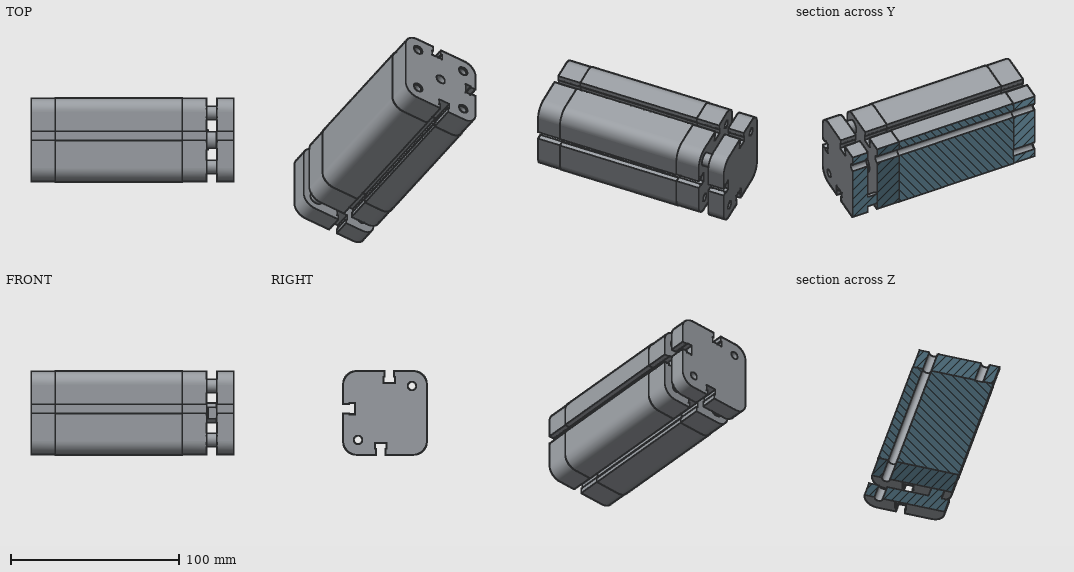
import cadquery as cq


TOTAL_LENGTH = 120.5
BARREL_START = 14.3
BARREL_END = 89.9
HOUSING_END = 104.4
YOKE_START = 110.4

BARREL_WIDTH = 50.0
CAP_INSET = 0.18
CAP_WIDTH = BARREL_WIDTH - 2 * CAP_INSET
CORNER_RADIUS = 8.1

SLOT_OFFSET = 2.5
SLOT_MOUTH = 5.4
SLOT_MOUTH_DEPTH = 3.6
CAP_SLOT_WIDTH = 7.0
CAP_SLOT_DEPTH = 7.4
SLOT_CLEARANCE = 0.4
BARREL_SLOT_WIDTH = CAP_SLOT_WIDTH - 2 * SLOT_CLEARANCE
BARREL_SLOT_DEPTH = CAP_SLOT_DEPTH - SLOT_CLEARANCE
SLOT_ANGLES = (0, 90, 180)

HOLE_PITCH = 32.0
HOLE_DIAMETER = 5.0
HOLE_CHAMFER = 0.6
CENTRE_HOLE_DIAMETER = 6.0

GUIDE_DIAMETER = 8.2
ROD_DIAMETER = 11.9
ROD_FLAT_WIDTH = 9.9
ROD_FLAT_START = 1.1
ROD_FLAT_RUNOUT = 0.4
ROD_CHAMFER = 0.4

HALF_PITCH = HOLE_PITCH / 2
BOLT_POINTS = [(HALF_PITCH, HALF_PITCH), (-HALF_PITCH, -HALF_PITCH)]
GUIDE_POINTS = [(-HALF_PITCH, HALF_PITCH), (HALF_PITCH, -HALF_PITCH)]


def section_plane(x):
    """Workplane across the cylinder at x; local coordinates are (Y, Z)."""
    return cq.Workplane("YZ", origin=(x, 0, 0))


def cut_t_slots(body, start, end, slot_width, slot_depth):
    """Cut the T-slots in the top, -Y and bottom faces, each offset from its face centre."""
    half_width = BARREL_WIDTH / 2
    length = end - start
    mouth = (
        section_plane(start)
        .center(SLOT_OFFSET, half_width - SLOT_MOUTH_DEPTH / 2)
        .rect(SLOT_MOUTH, SLOT_MOUTH_DEPTH)
        .extrude(length)
    )
    head_height = slot_depth - SLOT_MOUTH_DEPTH
    head = (
        section_plane(start)
        .center(SLOT_OFFSET, half_width - SLOT_MOUTH_DEPTH - head_height / 2)
        .rect(slot_width, head_height)
        .extrude(length)
    )
    slot = mouth.union(head)
    for angle in SLOT_ANGLES:
        body = body.cut(slot.rotate((0, 0, 0), (1, 0, 0), angle))
    return body


def make_block(start, end, width, slot_width, slot_depth):
    """Rounded square length of the cylinder with its T-slots and the two through-bolt holes."""
    block = (
        section_plane(start)
        .rect(width, width)
        .extrude(end - start)
        .edges("|X")
        .fillet(CORNER_RADIUS)
    )
    block = cut_t_slots(block, start, end, slot_width, slot_depth)
    bolt_holes = section_plane(start).pushPoints(BOLT_POINTS).circle(HOLE_DIAMETER / 2).extrude(end - start)
    return block.cut(bolt_holes)


def make_end_cap():
    """Rear cap with four chamfered corner holes and a plain centre hole."""
    cap = make_block(0, BARREL_START, CAP_WIDTH, CAP_SLOT_WIDTH, CAP_SLOT_DEPTH)
    corner_holes = section_plane(0).pushPoints(GUIDE_POINTS).circle(HOLE_DIAMETER / 2).extrude(BARREL_START)
    centre_hole = section_plane(0).circle(CENTRE_HOLE_DIAMETER / 2).extrude(BARREL_START)
    cap = cap.cut(corner_holes).cut(centre_hole)
    for y, z in BOLT_POINTS + GUIDE_POINTS:
        countersink = cq.Solid.makeCone(
            HOLE_DIAMETER / 2 + HOLE_CHAMFER,
            HOLE_DIAMETER / 2,
            HOLE_CHAMFER,
            pnt=cq.Vector(0, y, z),
            dir=cq.Vector(1, 0, 0),
        )
        cap = cap.cut(cq.Workplane(countersink))
    return cap


def make_barrel():
    return make_block(BARREL_START, BARREL_END, BARREL_WIDTH, BARREL_SLOT_WIDTH, BARREL_SLOT_DEPTH)


def make_bearing_cap():
    return make_block(BARREL_END, HOUSING_END, CAP_WIDTH, CAP_SLOT_WIDTH, CAP_SLOT_DEPTH)


def make_piston_rod():
    """Round rod between bearing cap and yoke, with wrench flats on its +Y and -Y sides."""
    rod = (
        section_plane(HOUSING_END)
        .circle(ROD_DIAMETER / 2)
        .extrude(YOKE_START - HOUSING_END)
        .faces(">X")
        .chamfer(ROD_CHAMFER)
    )
    flat_start = HOUSING_END + ROD_FLAT_START
    flat_y = ROD_FLAT_WIDTH / 2
    rim_y = ROD_DIAMETER / 2
    flat_cut = (
        cq.Workplane("XY")
        .moveTo(flat_start, flat_y)
        .lineTo(YOKE_START, flat_y)
        .lineTo(YOKE_START, rim_y)
        .lineTo(flat_start - ROD_FLAT_RUNOUT, rim_y)
        .close()
        .extrude(rim_y, both=True)
    )
    return rod.cut(flat_cut).cut(flat_cut.mirror("XZ"))


def make_yoke():
    """Front plate carrying the two guide rods on one diagonal."""
    plate = make_block(YOKE_START, TOTAL_LENGTH, CAP_WIDTH, CAP_SLOT_WIDTH, CAP_SLOT_DEPTH)
    guides = (
        section_plane(HOUSING_END)
        .pushPoints(GUIDE_POINTS)
        .circle(GUIDE_DIAMETER / 2)
        .extrude(YOKE_START - HOUSING_END)
    )
    return plate.union(guides)


end_cap = make_end_cap()
barrel = make_barrel()
bearing_cap = make_bearing_cap()
piston_rod = make_piston_rod()
yoke = make_yoke()

result = cq.Compound.makeCompound(
    [end_cap.val(), barrel.val(), bearing_cap.val(), piston_rod.val(), yoke.val()]
)